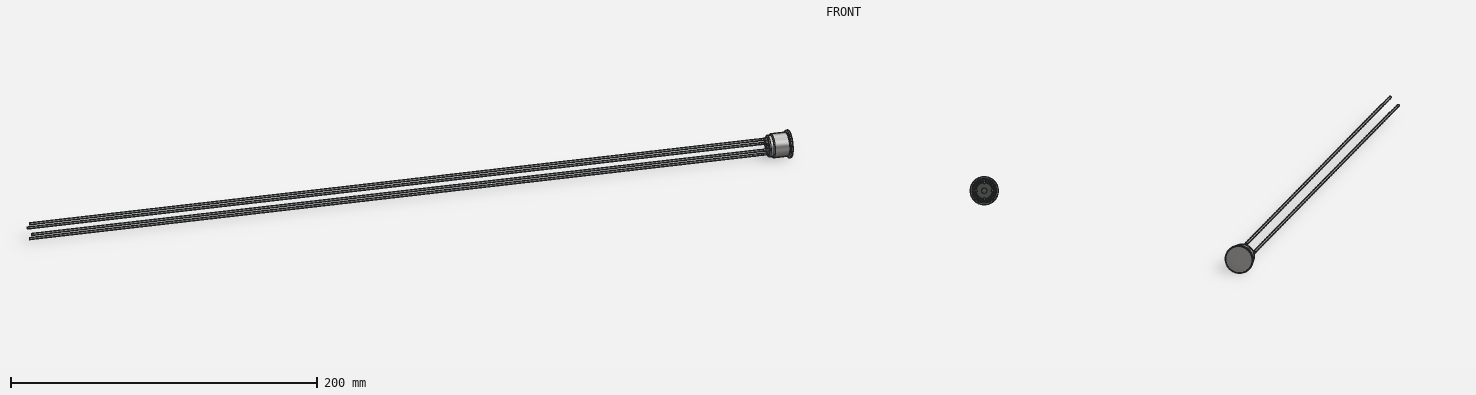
import cadquery as cq

total_length = 515.3
wire_length = 500.0
head_length = total_length - wire_length

flange_diameter = 18.5
flange_thickness = 1.4
flange_chamfer = 0.5

core_diameter = 14.42
nose_chamfer = 0.8

body_diameter = 16.0
body_start = 2.0
body_end = 12.6
body_chamfer = 0.7

recess_diameter = 12.0
insert_diameter = 10.5
recess_depth = 1.0
center_hole_diameter = 3.6
center_hole_depth = 1.0

lead_count = 4
lead_circle_radius = 5.3
wire_diameter = 1.5
collar_diameter = 1.56
neck_diameter = 1.4
collar_start = 2.5
neck_start = 4.0
neck_end = 6.4
collar_end = 10.0


def axial_cylinder(diameter, start, end):
    """Cylinder on the part's axis between two distances from the flange's outer face."""
    profile = cq.Workplane("XZ", origin=(0, -start, 0)).circle(diameter / 2)
    return profile.extrude(end - start)


def make_head():
    core = axial_cylinder(core_diameter, 0, head_length).faces("<Y").chamfer(nose_chamfer)
    flange = axial_cylinder(flange_diameter, 0, flange_thickness).faces(">Y").chamfer(flange_chamfer)
    body = axial_cylinder(body_diameter, body_start, body_end).faces("<Y").chamfer(body_chamfer)
    return core.union(flange).union(body)


def make_nose_recess():
    floor = head_length - recess_depth
    ring = axial_cylinder(recess_diameter, floor, head_length)
    return ring.cut(axial_cylinder(insert_diameter, floor, head_length))


def make_center_hole():
    return axial_cylinder(center_hole_diameter, head_length - center_hole_depth, head_length)


def make_lead():
    """One lead on the +X side, rooted at the level of the recess floor."""
    start = head_length - recess_depth
    lead = axial_cylinder(wire_diameter, start, head_length + collar_start)
    start = head_length + collar_start
    sections = (
        (collar_diameter, neck_start),
        (neck_diameter, neck_end),
        (collar_diameter, collar_end),
        (wire_diameter, wire_length),
    )
    for diameter, section_end in sections:
        end = head_length + section_end
        lead = lead.union(axial_cylinder(diameter, start, end))
        start = end
    return lead.translate((lead_circle_radius, 0, 0))


result = make_head().cut(make_nose_recess()).cut(make_center_hole())
lead = make_lead()
for index in range(lead_count):
    result = result.union(lead.rotate((0, 0, 0), (0, 1, 0), index * 360 / lead_count))